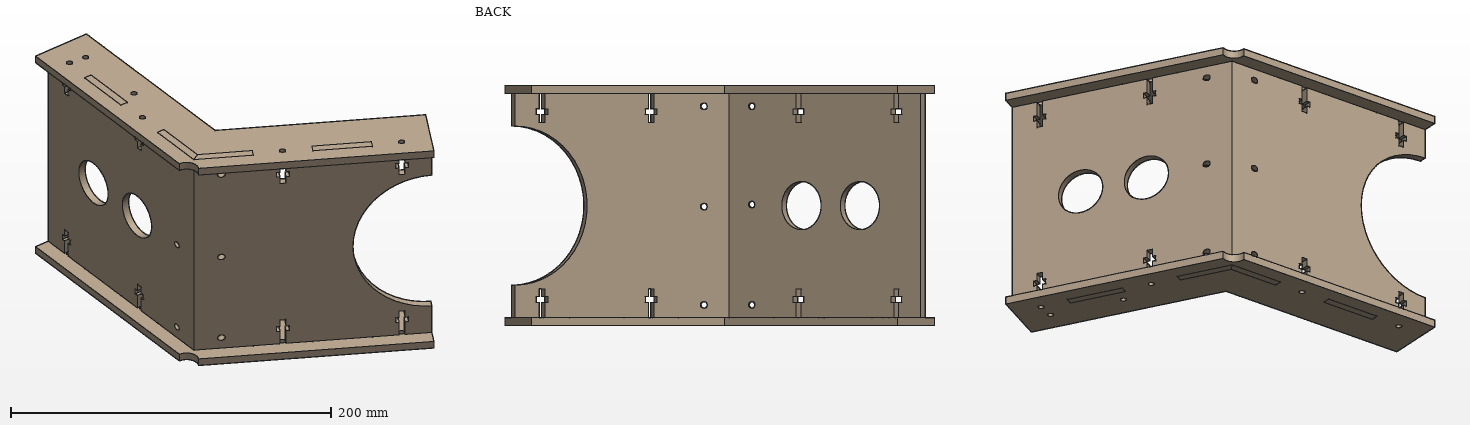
import cadquery as cq
import math

overall_width = 268.5
overall_height = 150.0
right_arm_tilt = 24.6
left_arm_tilt = 35.5
bend_angle = 180 - left_arm_tilt - right_arm_tilt
sheet = 5.0

arm_width = 40.0
wall_setback = 10.0
notch_radius = 7.5
accessory_hole_places = (80.3, 130.0)
accessory_hole_inset = 14.2

bolt_diameter = 3.8
bolt_slot_depth = 18.0
nut_width = 8.0
nut_thickness = 3.5
nut_depth = 11.3

joint_hole_diameter = 4.0
joint_hole_offset = 15.0
joint_hole_height = 62.0
middle_hole_rise = 0.67
port_diameter = 30.0
port_places = (58.5, 103.3)
scoop_radius = 49.7

mitre_slope = 1 / math.tan(math.radians(bend_angle / 2))
left_reach = math.cos(math.radians(left_arm_tilt))
right_reach = math.cos(math.radians(right_arm_tilt))
plate_arm_length = overall_width / (left_reach + right_reach)
wall_length = plate_arm_length - wall_setback * mitre_slope
wall_height = overall_height - 2 * sheet
quarter = wall_length / 4
bolt_places = (1.5 * quarter, 3.5 * quarter)
through = 3 * overall_height


def to_right_arm(shape):
    return shape.rotate((0, 0, 0), (0, 0, 1), right_arm_tilt)


def to_left_arm(shape):
    return shape.mirror("YZ").rotate((0, 0, 0), (0, 0, 1), -left_arm_tilt)


def on_both_arms(shape):
    return (to_left_arm(shape), to_right_arm(shape))


def mitred_bar(length, outer, inner, height):
    """Upright bar from the mitre plane to `length`, between two insets from the outer wall face."""
    outline = [
        (outer * mitre_slope, outer),
        (length, outer),
        (length, inner),
        (inner * mitre_slope, inner),
    ]
    return cq.Workplane("XY", origin=(0, 0, -height / 2)).polyline(outline).close().extrude(height)


def tabs():
    corner_tab = mitred_bar(quarter, 0, sheet, overall_height)
    outer_tab = cq.Workplane("XY").box(quarter, sheet, overall_height)
    return [corner_tab, outer_tab.translate((2.5 * quarter, sheet / 2, 0))]


def wall_hole(along, height, diameter):
    hole = cq.Workplane("XZ", origin=(along, through / 2, height))
    return hole.circle(diameter / 2).extrude(through)


def joint_hole(height):
    """Hole beside the bend, bored parallel to the mitre plane rather than square to the wall."""
    along = joint_hole_offset / math.sin(math.radians(bend_angle / 2))
    hole = wall_hole(along, height, joint_hole_diameter)
    return hole.rotate((along, 0, 0), (along, 0, 1), bend_angle / 2 - 90)


def bolt_slots():
    """Crossed slots for a bolt and its captive nut, at the upper and lower edges of a wall."""
    slots = cq.Workplane("XY")
    for end in (-1, 1):
        for along in bolt_places:
            shank_height = end * (wall_height - bolt_slot_depth) / 2
            nut_height = end * (wall_height / 2 - nut_depth)
            shank = cq.Workplane("XY").box(bolt_diameter, through, bolt_slot_depth)
            nut = cq.Workplane("XY").box(nut_width, through, nut_thickness)
            slots = slots.add(shank.translate((along, 0, shank_height)))
            slots = slots.add(nut.translate((along, 0, nut_height)))
    return slots.combine()


def plain_wall(middle_hole_height):
    """Wall with its tabs, bolt slots and the column of holes beside the bend."""
    wall = mitred_bar(wall_length, 0, sheet, wall_height)
    for tab in tabs():
        wall = wall.union(tab)
    wall = wall.cut(bolt_slots())
    for height in (-joint_hole_height, middle_hole_height, joint_hole_height):
        wall = wall.cut(joint_hole(height))
    return wall


def make_left_wall():
    wall = plain_wall(middle_hole_rise)
    for along in port_places:
        wall = wall.cut(wall_hole(along, 0, port_diameter))
    return to_left_arm(wall)


def make_right_wall():
    wall = plain_wall(-middle_hole_rise)
    wall = wall.cut(wall_hole(wall_length, 0, 2 * scoop_radius))
    return to_right_arm(wall)


def plate_hole(along, inset, diameter):
    hole = cq.Workplane("XY", origin=(along, inset, -through / 2))
    return hole.circle(diameter / 2).extrude(through)


def corner_notch():
    """Round cutter centred where the outer edges of the two plate arms would meet."""
    notch = plate_hole(-wall_setback * mitre_slope, -wall_setback, 2 * notch_radius)
    return to_right_arm(notch)


def make_plate(middle_height):
    arm = mitred_bar(wall_length, -wall_setback, arm_width - wall_setback, sheet)
    left_arm, right_arm = on_both_arms(arm)
    plate = left_arm.union(right_arm)
    bolt_holes = [plate_hole(along, sheet / 2, bolt_diameter) for along in bolt_places]
    for cutter in tabs() + bolt_holes:
        for placed_cutter in on_both_arms(cutter):
            plate = plate.cut(placed_cutter)
    for along in accessory_hole_places:
        hole = plate_hole(along, accessory_hole_inset, bolt_diameter)
        plate = plate.cut(to_left_arm(hole))
    plate = plate.cut(corner_notch())
    return plate.translate((0, 0, middle_height))


plate_height = (overall_height - sheet) / 2
plates = [make_plate(height) for height in (-plate_height, plate_height)]
left_wall = make_left_wall()
right_wall = make_right_wall()

result = cq.Compound.makeCompound([left_wall.val(), right_wall.val(), *[plate.val() for plate in plates]])